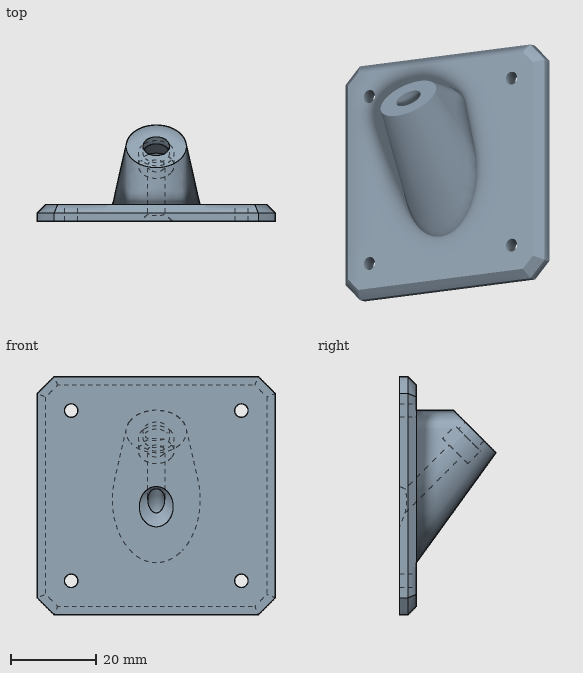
import cadquery as cq
import math

plate_size = 56.0
plate_thickness = 4.0
corner_cut = 4.0
back_bevel = 2.0
screw_hole_diameter = 3.1
screw_hole_spacing = 40.0

tilt = math.radians(45)
socket_reach = 25.0
socket_wall = 4.0
bore_diameter = 6.2
mouth_diameter = bore_diameter + 2 * socket_wall
mouth_radius = mouth_diameter / 2
mouth_y = socket_reach * math.cos(tilt)
mouth_z = 15.1
cone_length = 50.0
cone_flare = 8.0
cone_base_radius = mouth_radius + cone_flare
cone_slope = cone_flare / cone_length

bore_depth = 2.3
pocket_diameter = 8.4
pocket_length = 4.2
passage_diameter = 4.0
passage_length = 40.0

funnel_tip_y = 3.35
funnel_tip_z = mouth_z + (funnel_tip_y - mouth_y) * math.tan(tilt)
funnel_tilt = tilt / 2
funnel_half_angle = math.radians(45)
funnel_length = 12.0

boss_root_y = plate_thickness / 2
block_size = 200.0

axis_into_plate = cq.Vector(0, -math.cos(tilt), -math.sin(tilt))
mouth_center = cq.Vector(0, mouth_y, mouth_z)
mouth_plane = cq.Plane(origin=mouth_center, xDir=(1, 0, 0), normal=axis_into_plate)


def xz_plane(y):
    """Workplane at the given Y, with local axes X and Z and normal -Y."""
    return cq.Workplane("XZ", origin=(0, y, 0))


def tilted_cylinder(diameter, length, start_depth=0.0):
    """Cylinder along the socket axis, starting at a depth below the mouth."""
    base = mouth_center + axis_into_plate * start_depth
    return cq.Workplane(cq.Solid.makeCylinder(diameter / 2, length, base, axis_into_plate))


def make_plate():
    """Square plate with cut corners and a bevel round the back face."""
    plate = xz_plane(plate_thickness).rect(plate_size, plate_size).extrude(plate_thickness)
    plate = plate.edges("|Y").chamfer(corner_cut)
    plate = plate.faces(">Y").chamfer(back_bevel)
    holes = (
        xz_plane(plate_thickness)
        .rect(screw_hole_spacing, screw_hole_spacing, forConstruction=True)
        .vertices()
        .circle(screw_hole_diameter / 2)
        .extrude(plate_thickness)
    )
    return plate.cut(holes)


def make_boss():
    """Flared tilted cone, filled in above by the mouth carried straight back to the plate."""
    cone = cq.Workplane(
        cq.Solid.makeCone(mouth_radius, cone_base_radius, cone_length, mouth_center, axis_into_plate)
    )

    straight_support = (
        xz_plane(mouth_y + mouth_radius)
        .center(0, mouth_z)
        .ellipse(mouth_radius, mouth_radius * math.sin(tilt))
        .extrude(mouth_y + mouth_radius)
    )

    across = mouth_radius * math.sqrt(1 - cone_slope**2)
    along_slope = mouth_radius * cone_slope
    cheek_top = (
        across,
        mouth_y - along_slope * math.sin(tilt),
        mouth_z + along_slope * math.cos(tilt),
    )
    flare = cone_slope / mouth_radius
    step_y = -math.cos(tilt) - flare * along_slope * math.sin(tilt)
    step_z = -math.sin(tilt) + flare * along_slope * math.cos(tilt)
    run = (boss_root_y - cheek_top[1]) / step_y
    cheek_foot_x = across * (1 + flare * run)
    cheek_foot_z = cheek_top[2] + step_z * run

    cheek_side = (
        cq.Workplane("YZ")
        .polyline([cheek_top[1:], (boss_root_y, cheek_top[2]), (boss_root_y, cheek_foot_z)])
        .close()
        .extrude(cheek_foot_x, both=True)
    )
    cheek_front = (
        xz_plane(cheek_top[1])
        .polyline([
            (-across, cheek_top[2]),
            (across, cheek_top[2]),
            (cheek_foot_x, cheek_foot_z),
            (-cheek_foot_x, cheek_foot_z),
        ])
        .close()
        .extrude(cheek_top[1] - boss_root_y)
    )
    cheeks = cheek_side.intersect(cheek_front)

    beyond_mouth = cq.Workplane(mouth_plane).rect(block_size, block_size).extrude(-block_size)
    before_root = xz_plane(boss_root_y).rect(block_size, block_size).extrude(block_size)
    support = straight_support.cut(beyond_mouth).cut(before_root)
    return cone.cut(before_root).union(support).union(cheeks)


def make_passage():
    """Mouth bore opening into a wider pocket, then a narrow passage out through the plate."""
    bore = tilted_cylinder(bore_diameter, bore_depth)
    pocket = tilted_cylinder(pocket_diameter, pocket_length, bore_depth)
    passage = tilted_cylinder(passage_diameter, passage_length)
    return bore.union(pocket).union(passage)


def make_funnel():
    """Cone with its tip inside the plate, opening out through the front face."""
    tip = cq.Vector(0, funnel_tip_y, funnel_tip_z)
    opening_direction = cq.Vector(0, -math.cos(funnel_tilt), -math.sin(funnel_tilt))
    opening_radius = funnel_length * math.tan(funnel_half_angle)
    return cq.Workplane(cq.Solid.makeCone(0, opening_radius, funnel_length, tip, opening_direction))


result = make_plate().union(make_boss()).cut(make_passage()).cut(make_funnel())